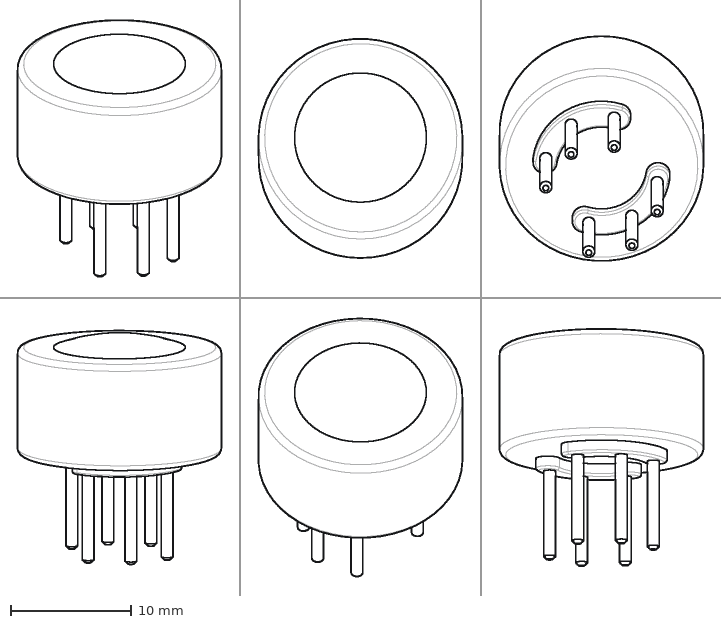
import cadquery as cq
import math

total_height = 18.5

body_diameter = 17.0
body_height = 9.0
body_edge_radius = 0.5

dome_radius = 5.5
dome_height = 1.0

pitch_radius = 4.75
pin_diameter = 1.0
pin_chamfer = 0.25
pin_length = total_height - dome_height - body_height
pin_angles = (-45, 0, 45)

pad_width = 2.0
pad_height = 1.0
pad_half_angle = 49.7
pad_edge_radius = 0.2

side_angles = (0, 180)


def polar(radius, angle):
    """Point at a radius and an angle in degrees."""
    radians = math.radians(angle)
    return radius * math.cos(radians), radius * math.sin(radians)


def make_body():
    cylinder = cq.Workplane("XY").circle(body_diameter / 2).extrude(body_height)
    return cylinder.faces("<Z or >Z").edges().fillet(body_edge_radius)


def make_dome():
    sphere_radius = (dome_radius**2 + dome_height**2) / (2 * dome_height)
    sphere_center = body_height + dome_height - sphere_radius
    mid_angle = math.degrees(math.asin(dome_radius / sphere_radius)) / 2
    mid_height, mid_radius = polar(sphere_radius, mid_angle)
    return (
        cq.Workplane("XZ")
        .moveTo(0, body_height)
        .lineTo(dome_radius, body_height)
        .threePointArc((mid_radius, sphere_center + mid_height), (0, body_height + dome_height))
        .close()
        .revolve(360, (0, 0, 0), (0, 1, 0))
    )


def make_pad(side_angle):
    """Arc-shaped slot outline with round ends, hanging below the housing."""
    inner_radius = pitch_radius - pad_width / 2
    outer_radius = pitch_radius + pad_width / 2
    start = -pad_half_angle
    end = pad_half_angle
    cap_radius = math.hypot(pitch_radius, pad_width / 2)
    cap_angle = pad_half_angle + math.degrees(math.atan2(pad_width / 2, pitch_radius))
    pad = (
        cq.Workplane("XY")
        .moveTo(*polar(outer_radius, start))
        .threePointArc((outer_radius, 0), polar(outer_radius, end))
        .threePointArc(polar(cap_radius, cap_angle), polar(inner_radius, end))
        .threePointArc((inner_radius, 0), polar(inner_radius, start))
        .threePointArc(polar(cap_radius, -cap_angle), polar(outer_radius, start))
        .close()
        .extrude(-pad_height)
        .faces("<Z")
        .edges()
        .fillet(pad_edge_radius)
    )
    return pad.rotate((0, 0, 0), (0, 0, 1), side_angle)


def make_pin(angle):
    return (
        cq.Workplane("XY")
        .center(*polar(pitch_radius, angle))
        .circle(pin_diameter / 2)
        .extrude(-pin_length)
        .faces("<Z")
        .chamfer(pin_chamfer)
    )


result = make_body().union(make_dome())
for side_angle in side_angles:
    result = result.union(make_pad(side_angle))
    for pin_angle in pin_angles:
        result = result.union(make_pin(side_angle + pin_angle))